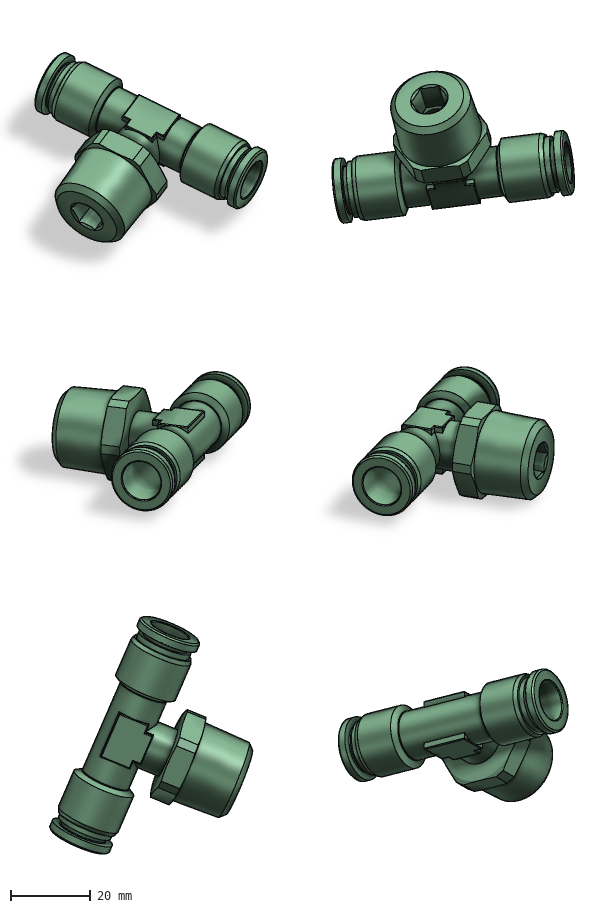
import cadquery as cq
import math


run_half_length = 29.6
tube_radius = 6.35
body_radius = 8.2
body_outer_end = 24.6
body_inner_end = 13.5
body_rim_radius = 7.75
body_rim_length = 1.1
body_cone_end = 12.5
shoulder_radius = 6.45
shoulder_length = 0.25

sleeve_radius = 7.15
sleeve_end = 26.05
neck_radius = 6.05
flange_thickness = 2.25
flange_chamfer = 0.45
neck_cone_size = 0.25
collet_bore_radius = 5.15
collet_bore_depth = 5.2
collet_mouth_radius = 5.4
run_bore_radius = 4.42

branch_radius = 6.35
branch_bore_radius = 3.35
branch_end = 31.3

hex_start = 11.8
hex_end = 17.4
hex_across_flats = 22.0
hex_corner_across = 24.0
hex_face_radius = 10.9
hex_chamfer_radius = 12.4
hex_chamfer_depth = 0.36

thread_root_radius = 10.65
thread_tip_radius = 10.25
thread_chamfer_radius = 8.8
thread_chamfer_length = 1.5

socket_across_flats = 8.2
socket_pilot_radius = 4.22
socket_depth = 8.0
socket_mouth_radius = 4.8
socket_mouth_depth = 0.5

pad_half_height = 6.55
pad_half_width = 6.15
pad_back = 4.1
pad_shoulder = -4.0
pad_stem_half_width = 4.0
pad_stem_end = -6.15
pad_chamfer = 0.25


def revolve_run(half_profile):
    """Revolve a symmetric body about X from the (x, radius) points of its +X half."""
    right = [(x, -radius) for x, radius in half_profile]
    left = [(-x, -radius) for x, radius in reversed(half_profile)]
    return cq.Workplane("XY").polyline(right + left).close().revolve(360, (0, 0, 0), (1, 0, 0))


def revolve_about_y(profile):
    """Revolve an outline of (distance towards -Y, radius) points about the Y axis."""
    points = [(-radius, -distance) for distance, radius in profile]
    return cq.Workplane("XY").polyline(points).close().revolve(360, (0, 0, 0), (0, 1, 0))


def hex_prism(across_flats, start, end, turn=0):
    """Hexagonal prism along the branch; without a turn its corners lie on X."""
    across_corners = across_flats / math.cos(math.pi / 6)
    prism = cq.Workplane("XZ", origin=(0, -start, 0)).polygon(6, across_corners).extrude(end - start)
    return prism.rotate((0, 0, 0), (0, 1, 0), turn)


def run_outside():
    """Tube of the run with a socket body and a release collet at each end."""
    flange_start = run_half_length - flange_thickness
    return revolve_run([
        (body_cone_end - shoulder_length, tube_radius),
        (body_cone_end, shoulder_radius),
        (body_inner_end, body_radius),
        (body_outer_end - body_rim_length, body_radius),
        (body_outer_end, body_rim_radius),
        (body_outer_end, sleeve_radius),
        (sleeve_end, sleeve_radius),
        (sleeve_end, neck_radius),
        (flange_start - neck_cone_size, neck_radius),
        (flange_start, neck_radius + neck_cone_size),
        (flange_start, body_radius),
        (run_half_length - flange_chamfer, body_radius),
        (run_half_length, body_radius - flange_chamfer),
        (run_half_length, 0),
    ])


def run_bore():
    """Bore through the run, flaring inside each collet and chamfered at its mouth."""
    mouth_chamfer = collet_mouth_radius - collet_bore_radius
    return revolve_run([
        (run_half_length - collet_bore_depth, run_bore_radius),
        (run_half_length - mouth_chamfer, collet_bore_radius),
        (run_half_length, collet_mouth_radius),
        (run_half_length, 0),
    ])


def hex_collar():
    """Hexagon with its corners cut flat and both end faces chamfered by cones."""
    collar = hex_prism(hex_across_flats, hex_start, hex_end)
    corner_cutter = hex_prism(hex_corner_across, hex_start, hex_end, 30)
    chamfer_cutter = revolve_about_y([
        (hex_start, 0),
        (hex_start, hex_face_radius),
        (hex_start + hex_chamfer_depth, hex_chamfer_radius),
        (hex_end - hex_chamfer_depth, hex_chamfer_radius),
        (hex_end, hex_face_radius),
        (hex_end, 0),
    ])
    return collar.intersect(corner_cutter).intersect(chamfer_cutter)


def branch_stem():
    """Plain stem from the run axis to the hexagon, followed by the tapered thread."""
    return revolve_about_y([
        (0, 0),
        (0, branch_radius),
        (hex_end, branch_radius),
        (hex_end, thread_root_radius),
        (branch_end - thread_chamfer_length, thread_tip_radius),
        (branch_end, thread_chamfer_radius),
        (branch_end, 0),
    ])


def branch_bore():
    """Round bore from the run, opening into a hexagon socket with a conical mouth.

    The pilot hole of the socket is slightly wider than the hexagon flats,
    so it leaves a shallow round groove along the middle of each flat.
    """
    socket_floor = branch_end - socket_depth
    bore_and_mouth = revolve_about_y([
        (0, 0),
        (0, branch_bore_radius),
        (socket_floor, branch_bore_radius),
        (socket_floor, socket_pilot_radius),
        (branch_end - socket_mouth_depth, socket_pilot_radius),
        (branch_end, socket_mouth_radius),
        (branch_end, 0),
    ])
    return bore_and_mouth.union(hex_prism(socket_across_flats, socket_floor, branch_end))


def label_pads():
    """T-shaped block through the tee that forms a chamfered pad above and below."""
    outline = [
        (-pad_half_width, pad_back),
        (pad_half_width, pad_back),
        (pad_half_width, pad_shoulder),
        (pad_stem_half_width, pad_shoulder),
        (pad_stem_half_width, pad_stem_end),
        (-pad_stem_half_width, pad_stem_end),
        (-pad_stem_half_width, pad_shoulder),
        (-pad_half_width, pad_shoulder),
    ]
    block = cq.Workplane("XY").polyline(outline).close().extrude(pad_half_height, both=True)
    return block.faces("|Z").edges().chamfer(pad_chamfer)


outside = run_outside().union(branch_stem()).union(hex_collar()).union(label_pads())
result = outside.cut(run_bore()).cut(branch_bore())